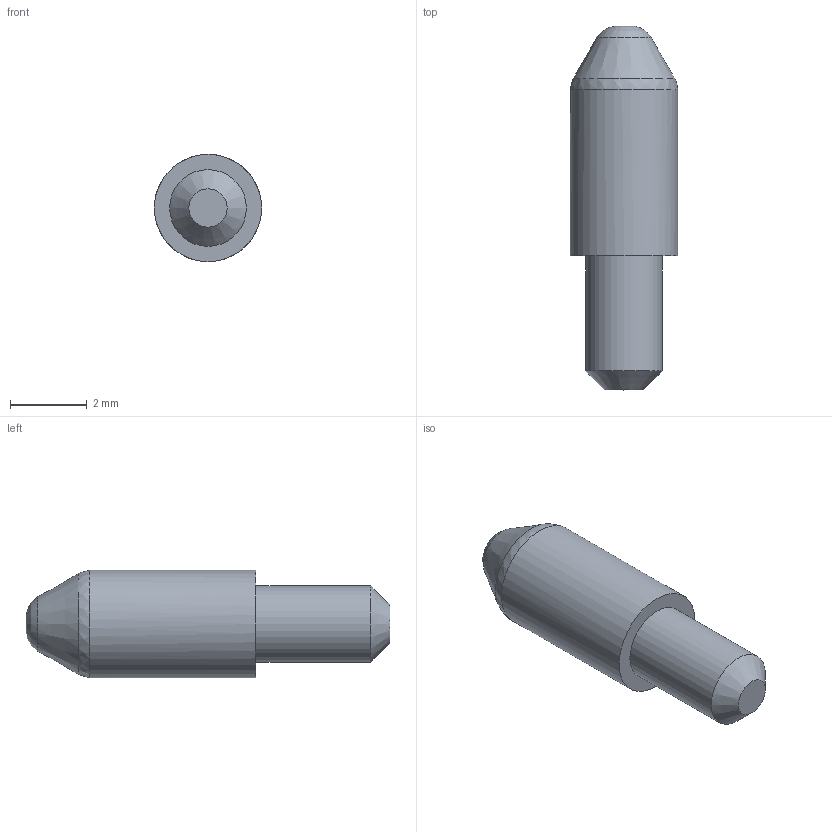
import cadquery as cq
import math


head_diameter = 2.8
head_length = 6.0
taper_length = 1.5
taper_half_angle = 30.0
tip_rounding = 0.6
base_rounding = 0.6

shank_diameter = 2.0
shank_length = 3.5
shank_chamfer = 0.5


def make_head():
    """Cylinder with a tapered nose, rounded at the tip and where the taper begins."""
    head_radius = head_diameter / 2
    taper_start = head_length - taper_length
    tip_radius = head_radius - taper_length * math.tan(math.radians(taper_half_angle))
    head = (
        cq.Workplane("XY")
        .polyline([
            (0, 0),
            (head_radius, 0),
            (head_radius, taper_start),
            (tip_radius, head_length),
            (0, head_length),
        ])
        .close()
        .revolve(360, (0, 0, 0), (0, 1, 0))
    )
    head = head.faces(">Y").edges().fillet(tip_rounding)
    edge_band = cq.selectors.BoxSelector(
        (-head_diameter, taper_start - base_rounding / 2, -head_diameter),
        (head_diameter, taper_start + base_rounding / 2, head_diameter),
    )
    return head.edges("%CIRCLE").edges(edge_band).fillet(base_rounding)


def make_shank():
    """Plain cylinder seated on the head's shoulder, chamfered at its free end."""
    return (
        cq.Workplane("XZ")
        .circle(shank_diameter / 2)
        .extrude(shank_length)
        .faces("<Y")
        .edges()
        .chamfer(shank_chamfer)
    )


head = make_head()
shank = make_shank()

result = cq.Compound.makeCompound([head.val(), shank.val()])